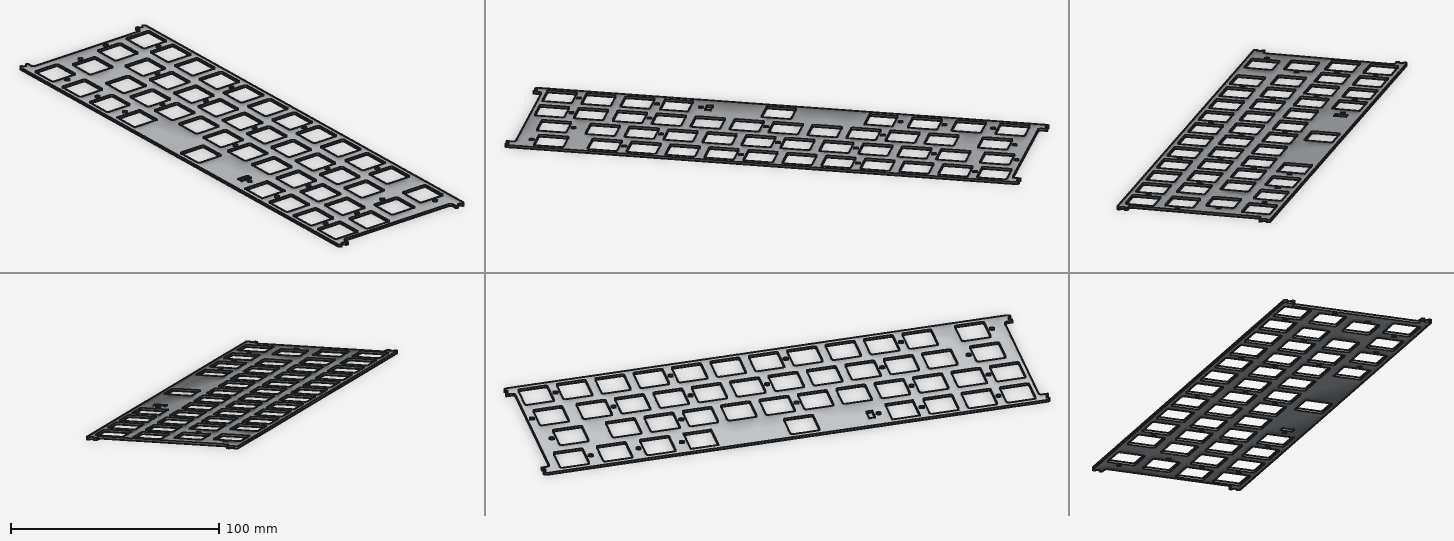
import cadquery as cq


length = 251.2
width = 76.0
thickness = 1.2
body_length = 243.0
key_pitch = body_length / 12.75

ear_width = 5.3
ear_root_radius = 1.5
ear_corner_radius = 1.5
ear_notch_diameter = 2.8
ear_notch_inset = 2.8

opening_length = 14.5
opening_width = 14.0
opening_corner_radius = 1.0
small_opening_size = 13.8

hole_diameter = 2.24
slot_length = 3.0
slot_width = 6.0
slot_x = 39.0

row_y = [(1.5 - row) * key_pitch for row in range(4)]

opening_columns = [
    [-5.875 + key for key in range(11)] + [5.5],
    [-5.75] + [-4.625 + key for key in range(10)] + [5.625],
    [-5.5] + [-4.125 + key for key in range(11)],
    [-5.75, -4.625, -3.5, 0.25, 3.875, 4.875, 5.875],
]
small_opening_columns = [-2.375, 2.875]

hole_columns = [
    [-5.375, -2.375, 0.625, 3.625, 6.0],
    [-6.25, -4.125, -2.125, -0.125, 2.875, 5.125],
    [-6.0, -2.625, 0.375, 3.375, 5.375],
    [-5.25, -4.0, -2.875, 2.25, 3.375, 5.375],
]


def row_points(columns, y):
    """Points at the given key columns on one row."""
    return [(column * key_pitch, y) for column in columns]


def all_row_points(columns_by_row):
    """Points of every row, gathered in one list."""
    points = []
    for columns, y in zip(columns_by_row, row_y):
        points += row_points(columns, y)
    return points


def through_cutter(points, size_x, size_y):
    """Rectangular prisms through the plate, centred on the points."""
    return cq.Workplane("XY").pushPoints(points).rect(size_x, size_y).extrude(thickness)


def make_blank():
    """Plate with four ears: rounded outer corners and roots, and a round notch in each end."""
    blank = cq.Workplane("XY").rect(length, width).extrude(thickness)
    blank = blank.edges("|Z").fillet(ear_corner_radius)

    recess_depth = (length - body_length) / 2
    recess_span = width - 2 * ear_width
    for side in (-1, 1):
        recess = through_cutter([(side * length / 2, 0)], 2 * recess_depth, recess_span)
        blank = blank.cut(recess.edges("|Z").fillet(ear_root_radius))

    notch_y = width / 2 - ear_notch_inset
    notches = (
        cq.Workplane("XY")
        .rect(length, 2 * notch_y, forConstruction=True)
        .vertices()
        .circle(ear_notch_diameter / 2)
        .extrude(thickness)
    )
    return blank.cut(notches)


def cut_switch_openings(plate):
    openings = through_cutter(all_row_points(opening_columns), opening_length, opening_width)
    plate = plate.cut(openings.edges("|Z").fillet(opening_corner_radius))
    small_points = row_points(small_opening_columns, row_y[-1])
    return plate.cut(through_cutter(small_points, small_opening_size, small_opening_size))


def cut_round_holes(plate):
    holes = (
        cq.Workplane("XY")
        .pushPoints(all_row_points(hole_columns))
        .circle(hole_diameter / 2)
        .extrude(thickness)
    )
    return plate.cut(holes)


def cut_slot(plate):
    return plate.cut(through_cutter([(slot_x, row_y[-1])], slot_length, slot_width))


result = cut_slot(cut_round_holes(cut_switch_openings(make_blank())))